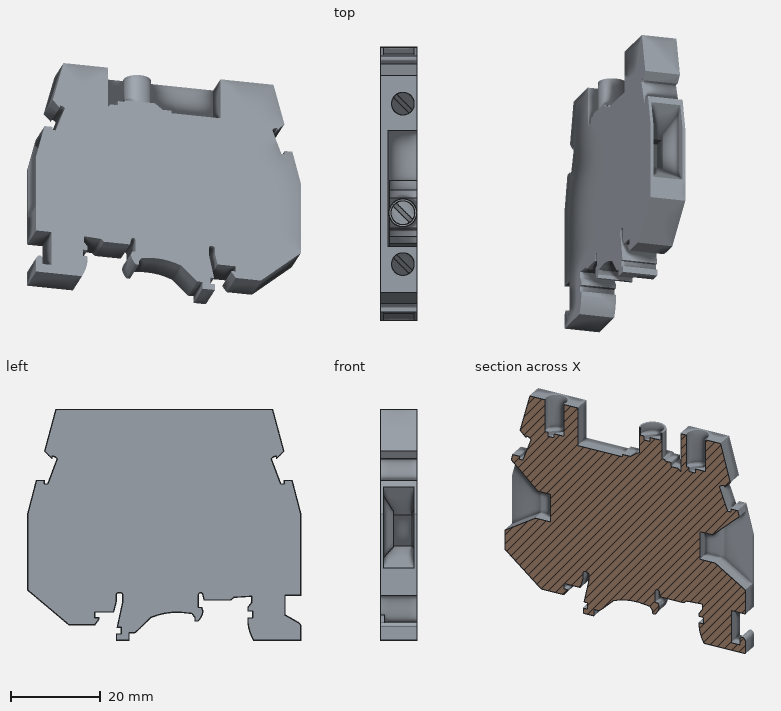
import cadquery as cq
import math


thickness = 8.15
half_length = 30.5
height = 51.5

top_half_width = 24.2
shoulder_half_width = 26.7
shoulder_level = 42.2
hook_half_width = 25.05
hook_level = 40.55
hook_relief_top = 41.1
neck_half_width = 23.9
neck_top_level = 40.5
neck_relief_half_width = 24.3
neck_relief_level = 40.9
cheek_foot_half_width = 26.0
cheek_foot_level = 34.9
label_groove_half_width = 26.75
ledge_half_width = 28.55
ledge_level = 35.66
side_top_level = 28.15

bevel_top_level = 11.2
bevel_bottom_y = 21.3
heel_level = 3.46
rail_lip_y = 14.55
rail_lip_low_y = 15.5
rail_lip_level = 4.7
rail_lip_top = 5.05
rail_rest_level = 6.3

slot_roof_level = 10.6
slot_corner_radius = 0.5
slot_outer_y = 10.7
slot_inner_y = 9.27
slot_bend_level = 8.6
slot_mouth_y = 11.3
leg_notch_top = 2.9
leg_notch_bottom = 1.4
leg_notch_y = 9.65
leg_neck_y = 10.5
leg_outer_y = 10.7
leg_inner_y = 7.84
leg_step_level = 1.63

arch_foot_y = 6.6
arch_ramp_low = (5.9, 2.24)
arch_ramp_high = (2.95, 5.09)
arch_curve_mid = (0.1, 5.95)
arch_crown = (-3.4, 6.25)
arch_end = (-6.2, 5.95)
claw_root = (-6.83, 5.1)
claw_bottom_level = 4.28
claw_bottom_outer_y = -7.54
claw_curve_mid = (-8.35, 5.4)
claw_curve_end = (-8.66, 6.5)
claw_nose = (-8.35, 7.35)

relief_inner_y = -7.64
relief_outer_y = -8.6
relief_mouth_y = -8.9
seat_level = 8.96
seat_step_start_y = -14.85
seat_step_end = (-15.5, 9.55)
seat_corner = (-19.48, 9.8)

foot_catch_root_level = 8.4
foot_face_y = -18.65
foot_catch_level = 7.35
foot_notch_top = 6.5
foot_notch_y = -19.75
foot_notch_bottom = 5.0
foot_curve_start_level = 4.0
foot_curve_mid = (-19.12, 1.8)
foot_base_y = -19.95

notch_y = -26.95
notch_top = 10.0
notch_bottom = 5.66
lip_crest = (-29.9, 3.97)
lip_round_mid = (-30.32, 3.62)
lip_outer_level = 3.1
ramp_width = 0.9
lip_groove_floor = 2.0
lip_back_y = -29.0
lip_back_level = 3.3
lip_back_mid = (-29.3, 3.87)
lip_back_top = (-29.75, 4.05)

pocket_x = 1.73
pocket_y_min = -14.0
pocket_y_max = 11.95
pocket_floor = 42.0

bar_x = 2.0
bar_start_y = 0.7
bar_slope_foot_y = -1.32
bar_slope_top_y = -3.16
bar_crown_end_y = -9.9
bar_shelf_start_y = -10.29
bar_shelf_end_y = -11.7
bar_foot_end_y = -13.34
bar_low_level = 42.6
bar_shelf_level = 43.6
bar_crown_level = 44.0

screw_x = 5.0
end_screw_ys = (17.9, -17.9)
end_screw_diameter = 5.05
end_screw_depth = 8.0
sleeve_y = -6.45
sleeve_diameter = 6.2
sleeve_bore = 5.3
sleeve_top = 50.5
sleeve_screw_level = 48.6
screw_slot_width = 1.0
screw_slot_depth = 1.0
screw_slot_angle = -45

funnel_x_min = 0.66
funnel_x_max = 7.49
funnel_mouth_bottom = 16.1
funnel_bottom_slope = 0.64
funnel_top_level = 34.2
funnel_top_slope = 0.93
funnel_top_y = 28.96
funnel_taper_start_y = 26.9
funnel_taper_end_y = 23.2
funnel_right_taper_start_y = 23.6
tunnel_x_min = 2.85
tunnel_x_max = 7.05
tunnel_bottom = 21.06
tunnel_top = 27.9
tunnel_end_y = 19.0


def upper_side(sign):
    """Points of one upper side, from the top edge down to the vertical end face."""
    half_outline = [
        (top_half_width, height),
        (shoulder_half_width, shoulder_level),
        (hook_half_width, hook_level),
        (hook_half_width, hook_relief_top),
        (neck_relief_half_width, neck_relief_level),
        (neck_half_width, neck_top_level),
        (cheek_foot_half_width, cheek_foot_level),
        (label_groove_half_width, cheek_foot_level),
        (label_groove_half_width, ledge_level),
        (ledge_half_width, ledge_level),
        (half_length, side_top_level),
    ]
    return [(sign * y, z) for y, z in half_outline]


def lines_through(sketch, points):
    for point in points:
        sketch = sketch.lineTo(*point)
    return sketch


def make_body():
    """Full-thickness plate with the complete side outline."""
    left = upper_side(1)
    right = upper_side(-1)
    r = slot_corner_radius
    r_mid = r * (1 - math.sqrt(0.5))

    outline = cq.Workplane("YZ").moveTo(*left[0])
    outline = lines_through(outline, left[1:])

    outline = lines_through(outline, [
        (half_length, bevel_top_level),
        (bevel_bottom_y, heel_level),
        (rail_lip_low_y, heel_level),
        (rail_lip_y, rail_lip_level),
        (rail_lip_y, rail_lip_top),
        (rail_lip_low_y, rail_lip_top),
        (rail_lip_low_y, rail_rest_level),
        (slot_mouth_y, rail_rest_level),
        (slot_outer_y, slot_bend_level),
        (slot_outer_y, slot_roof_level - r),
    ])

    outline = outline.threePointArc(
        (slot_outer_y - r_mid, slot_roof_level - r_mid), (slot_outer_y - r, slot_roof_level))
    outline = outline.lineTo(slot_inner_y + r, slot_roof_level)
    outline = outline.threePointArc(
        (slot_inner_y + r_mid, slot_roof_level - r_mid), (slot_inner_y, slot_roof_level - r))
    outline = lines_through(outline, [
        (slot_inner_y, slot_bend_level),
        (leg_neck_y, leg_notch_top),
        (leg_notch_y, leg_notch_top),
        (leg_notch_y, leg_notch_bottom),
        (leg_outer_y, leg_notch_bottom),
        (leg_outer_y, 0),
        (leg_inner_y, 0),
        (leg_inner_y, leg_step_level),
        (arch_foot_y, leg_step_level),
        arch_ramp_low,
        arch_ramp_high,
    ])

    outline = outline.threePointArc(arch_curve_mid, arch_crown)
    outline = lines_through(outline, [
        arch_end,
        claw_root,
        (claw_root[0], claw_bottom_level),
        (claw_bottom_outer_y, claw_bottom_level),
    ])
    outline = outline.threePointArc(claw_curve_mid, claw_curve_end)
    outline = lines_through(outline, [
        claw_nose,
        (relief_inner_y, claw_nose[1]),
        (relief_inner_y, slot_roof_level - r),
    ])

    outline = outline.threePointArc(
        ((relief_inner_y + relief_outer_y) / 2, slot_roof_level), (relief_outer_y, slot_roof_level - r))
    outline = lines_through(outline, [
        (relief_mouth_y, seat_level),
        (seat_step_start_y, seat_level),
        seat_step_end,
        seat_corner,
        (seat_corner[0], foot_catch_root_level),
        (foot_face_y, foot_catch_level),
        (foot_face_y, foot_notch_top),
        (foot_notch_y, foot_notch_top),
        (foot_notch_y, foot_notch_bottom),
        (foot_face_y, foot_notch_bottom),
        (foot_face_y, foot_curve_start_level),
    ])

    outline = outline.threePointArc(foot_curve_mid, (foot_base_y, 0))
    outline = lines_through(outline, [(-half_length, 0), (-half_length, lip_outer_level)])
    outline = outline.threePointArc(lip_round_mid, lip_crest)
    outline = lines_through(outline, [
        (notch_y, notch_bottom),
        (notch_y, notch_top),
        (-half_length, notch_top),
    ])
    outline = lines_through(outline, reversed(right))
    return outline.close().extrude(thickness)


def make_lip_groove():
    """Groove behind the lip; the ramp beside it stays as an end wall."""
    profile = (
        cq.Workplane("YZ", origin=(ramp_width, 0, 0))
        .moveTo(notch_y, lip_groove_floor)
        .lineTo(lip_back_y, lip_groove_floor)
        .lineTo(lip_back_y, lip_back_level)
        .threePointArc(lip_back_mid, lip_back_top)
        .lineTo(lip_back_top[0], notch_bottom)
        .lineTo(notch_y, notch_bottom)
        .close()
    )
    return profile.extrude(thickness - ramp_width)


def box_between(x_range, y_range, z_range):
    lows, highs = zip(x_range, y_range, z_range)
    sizes = [high - low for low, high in zip(lows, highs)]
    return cq.Workplane("XY").box(*sizes, centered=False).translate(lows)


def make_pocket():
    return box_between((pocket_x, thickness), (pocket_y_min, pocket_y_max), (pocket_floor, height))


def make_contact_bar():
    """Bar whose top rises by a slope to a crown and steps down again."""
    points = [
        (bar_start_y, pocket_floor),
        (bar_start_y, bar_low_level),
        (bar_slope_foot_y, bar_low_level),
        (bar_slope_top_y, bar_crown_level),
        (bar_crown_end_y, bar_crown_level),
        (bar_shelf_start_y, bar_shelf_level),
        (bar_shelf_end_y, bar_shelf_level),
        (bar_shelf_end_y, bar_low_level),
        (bar_foot_end_y, bar_low_level),
        (pocket_y_min, pocket_floor),
    ]
    profile = cq.Workplane("YZ", origin=(bar_x, 0, 0)).polyline(points).close()
    return profile.extrude(thickness - bar_x)


def make_sleeve():
    """Round sleeve that stands on the contact bar."""
    base = cq.Workplane("XY", origin=(screw_x, sleeve_y, pocket_floor))
    return base.circle(sleeve_diameter / 2).extrude(sleeve_top - pocket_floor)


def make_screw_recess(y, diameter, rim_level, head_level):
    """Round recess down to a screw head, with the diagonal slot in the head."""
    head = cq.Workplane("XY", origin=(screw_x, y, head_level))
    recess = head.circle(diameter / 2).extrude(rim_level - head_level)
    slot = (
        head.transformed(rotate=(0, 0, screw_slot_angle))
        .rect(diameter, screw_slot_width)
        .extrude(-screw_slot_depth)
    )
    disc = head.circle(diameter / 2).extrude(-screw_slot_depth)
    return recess.union(slot.intersect(disc))


def make_funnel():
    """Wire entry in the +Y end: a tapered mouth that narrows to a short tunnel."""
    bottom_end_y = half_length - (tunnel_bottom - funnel_mouth_bottom) / funnel_bottom_slope
    top_end_y = funnel_top_y - (funnel_top_level - tunnel_top) / funnel_top_slope
    mouth_top = funnel_top_level + (half_length - funnel_top_y) * funnel_top_slope
    side_profile = [
        (half_length, funnel_mouth_bottom),
        (bottom_end_y, tunnel_bottom),
        (tunnel_end_y, tunnel_bottom),
        (tunnel_end_y, tunnel_top),
        (top_end_y, tunnel_top),
        (half_length, mouth_top),
    ]
    plan_profile = [
        (funnel_x_min, half_length),
        (funnel_x_min, funnel_taper_start_y),
        (tunnel_x_min, funnel_taper_end_y),
        (tunnel_x_min, tunnel_end_y),
        (tunnel_x_max, tunnel_end_y),
        (tunnel_x_max, bottom_end_y),
        (funnel_x_max, funnel_right_taper_start_y),
        (funnel_x_max, half_length),
    ]
    side = cq.Workplane("YZ").polyline(side_profile).close().extrude(thickness)
    plan = cq.Workplane("XY").polyline(plan_profile).close().extrude(height)
    return side.intersect(plan)


result = make_body().cut(make_lip_groove()).cut(make_pocket())
result = result.union(make_contact_bar()).union(make_sleeve())
result = result.cut(make_screw_recess(sleeve_y, sleeve_bore, sleeve_top, sleeve_screw_level))
for end_screw_y in end_screw_ys:
    end_recess = make_screw_recess(end_screw_y, end_screw_diameter, height, height - end_screw_depth)
    result = result.cut(end_recess)
funnel = make_funnel()
result = result.cut(funnel).cut(funnel.mirror("XZ"))